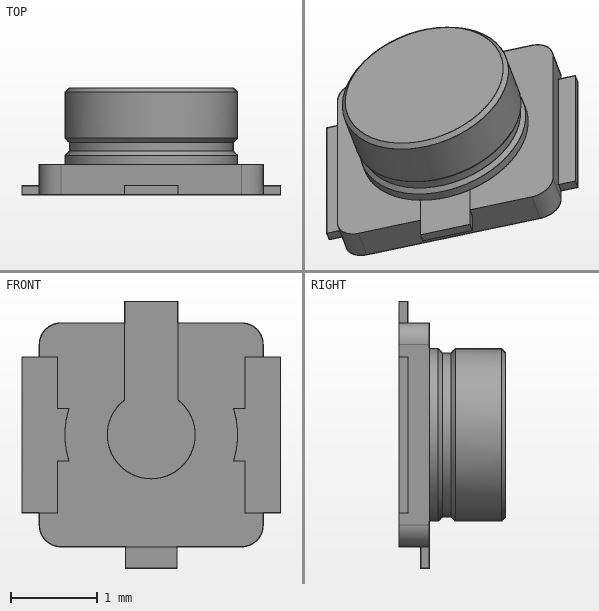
import cadquery as cq
import math

overall_width = 3.0
overall_height = 3.1
overall_depth = 1.24

plate_side = 2.6
plate_thickness = 0.353
plate_corner_radius = 0.508 / 2

contact_thickness = 0.105
contact_disc_diameter = 1.02
contact_tail_width = 0.62

pad_height = 1.81
pad_width = 0.412
tongue_height = 0.61

barrel_diameter = 2.005
neck_diameter = 1.905
collar_height = 0.102
neck_height = 0.102
tab_width = 0.598
tab_thickness = 0.1
tab_length = 0.698

barrel_radius = barrel_diameter / 2
neck_radius = neck_diameter / 2
bevel = barrel_radius - neck_radius


def box(x_min, x_max, y_min, y_max, z_min, z_max):
    """Box between the given limits."""
    size = (x_max - x_min, y_max - y_min, z_max - z_min)
    return cq.Workplane("XY").box(*size, centered=False).translate((x_min, y_min, z_min))


def extrude_back(sketch, thickness):
    """Extrude an XZ outline from Y = 0 toward +Y."""
    return sketch.extrude(-thickness)


def make_signal_contact():
    disc = extrude_back(cq.Workplane("XZ").circle(contact_disc_diameter / 2), contact_thickness)
    half_width = contact_tail_width / 2
    tail = box(-half_width, half_width, 0, contact_thickness, 0, overall_height / 2)
    return disc.union(tail)


def make_ground_pad(side):
    """Ground pad on the +X side (side = 1) or the -X side (side = -1)."""
    outer_x = side * overall_width / 2
    inner_x = side * (overall_width / 2 - pad_width)
    half_pad = pad_height / 2
    half_tongue = tongue_height / 2
    tongue_corner_x = side * math.sqrt(barrel_radius**2 - half_tongue**2)
    outline = (
        cq.Workplane("XZ")
        .moveTo(outer_x, -half_pad)
        .lineTo(outer_x, half_pad)
        .lineTo(inner_x, half_pad)
        .lineTo(inner_x, half_tongue)
        .lineTo(tongue_corner_x, half_tongue)
        .threePointArc((side * barrel_radius, 0), (tongue_corner_x, -half_tongue))
        .lineTo(inner_x, -half_tongue)
        .lineTo(inner_x, -half_pad)
        .close()
    )
    return extrude_back(outline, contact_thickness)


def make_barrel():
    """Grooved barrel standing on the plate, with a tab let into the plate's rear face."""
    neck_start = plate_thickness + collar_height + bevel
    neck_end = neck_start + neck_height
    profile = (
        cq.Workplane("XY")
        .moveTo(0, plate_thickness)
        .lineTo(barrel_radius, plate_thickness)
        .lineTo(barrel_radius, neck_start - bevel)
        .lineTo(neck_radius, neck_start)
        .lineTo(neck_radius, neck_end)
        .lineTo(barrel_radius, neck_end + bevel)
        .lineTo(barrel_radius, overall_depth - bevel)
        .lineTo(neck_radius, overall_depth)
        .lineTo(0, overall_depth)
        .close()
    )
    barrel = profile.revolve(360, (0, 0, 0), (0, 1, 0))
    return barrel.union(make_barrel_tab())


def make_barrel_tab():
    """Tab running from under the barrel rim to the bottom edge of the part."""
    half_width = tab_width / 2
    tab_start = plate_thickness - tab_thickness
    outer_z = -overall_height / 2
    return box(-half_width, half_width, tab_start, plate_thickness, outer_z, outer_z + tab_length)


def make_base_plate(inset_bodies):
    """Rounded square plate with a matching recess for each inset body."""
    plate = extrude_back(cq.Workplane("XZ").rect(plate_side, plate_side), plate_thickness)
    plate = plate.edges("|Y").fillet(plate_corner_radius)
    for body in inset_bodies:
        plate = plate.cut(body)
    return plate


signal_contact = make_signal_contact()
ground_pads = [make_ground_pad(side) for side in (-1, 1)]
barrel = make_barrel()
base_plate = make_base_plate([signal_contact, *ground_pads, barrel])

result = cq.Compound.makeCompound(
    [
        base_plate.val(),
        signal_contact.val(),
        *[pad.val() for pad in ground_pads],
        barrel.val(),
    ]
)